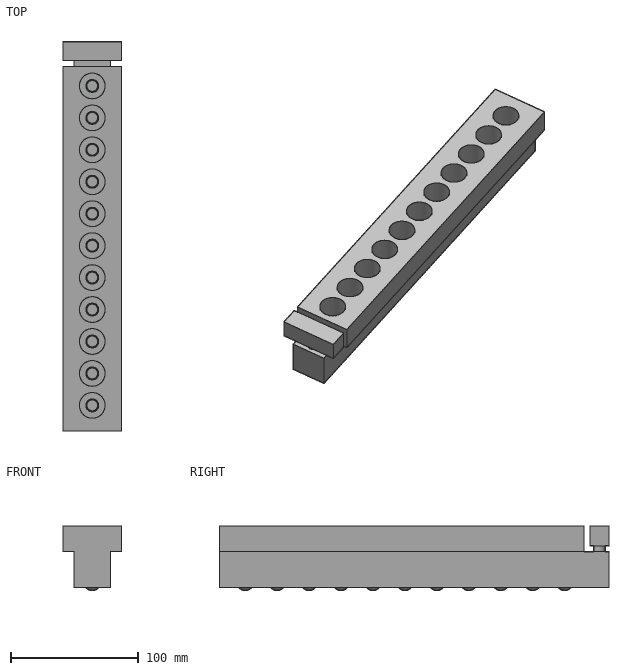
import cadquery as cq

total_length = 305.0
total_height = 50.5
head_width = 46.0
head_height = 20.0
stem_width = 28.7
stem_height = 28.0
head_length = 285.5

block_length = 15.0
block_height = 15.5
post_diameter = 9.0

screw_count = 11
screw_pitch = 25.0
rear_screw_inset = 34.8
access_hole_diameter = 20.0
access_hole_depth = head_height
screw_diameter = 10.0
screw_top_height = 1.2
screw_top_chamfer = 0.75

tip_height = total_height - head_height - stem_height
head_bottom = tip_height + stem_height
access_hole_floor = total_height - access_hole_depth

tip_radius = ((screw_diameter / 2) ** 2 + tip_height ** 2) / (2 * tip_height)

rear_screw_y = total_length - rear_screw_inset
screw_points = [(0, rear_screw_y - i * screw_pitch) for i in range(screw_count)]


def bar(width, length, height, front_y, bottom_z):
    """Box centred on X that starts at front_y and rests on bottom_z."""
    return (
        cq.Workplane("XY")
        .box(width, length, height, centered=(True, False, False))
        .translate((0, front_y, bottom_z))
    )


def rail():
    stem = bar(stem_width, total_length, stem_height, 0, tip_height)
    head = bar(head_width, head_length, head_height, 0, head_bottom)
    return stem.union(head)


def clamp_block():
    block_bottom = total_height - block_height
    block_front = total_length - block_length
    block = bar(head_width, block_length, block_height, block_front, block_bottom)
    post = (
        cq.Workplane("XY")
        .workplane(offset=head_bottom)
        .center(0, total_length - block_length / 2)
        .circle(post_diameter / 2)
        .extrude(block_bottom - head_bottom)
    )
    return block.union(post)


def access_holes():
    return (
        cq.Workplane("XY")
        .workplane(offset=access_hole_floor)
        .pushPoints(screw_points)
        .circle(access_hole_diameter / 2)
        .extrude(access_hole_depth)
    )


def set_screw():
    """Screw on the Z axis: chamfered top, straight shank and domed tip."""
    shank_height = access_hole_floor + screw_top_height - tip_height
    shank = (
        cq.Workplane("XY")
        .workplane(offset=tip_height)
        .circle(screw_diameter / 2)
        .extrude(shank_height)
        .faces(">Z")
        .chamfer(screw_top_chamfer)
    )
    ball = cq.Workplane("XY").sphere(tip_radius).translate((0, 0, tip_radius))
    tip_zone = cq.Workplane("XY").circle(screw_diameter / 2).extrude(tip_height)
    return shank.union(ball.intersect(tip_zone))


result = rail().union(clamp_block()).cut(access_holes())
screw = set_screw()
for x, y in screw_points:
    result = result.union(screw.translate((x, y, 0)))